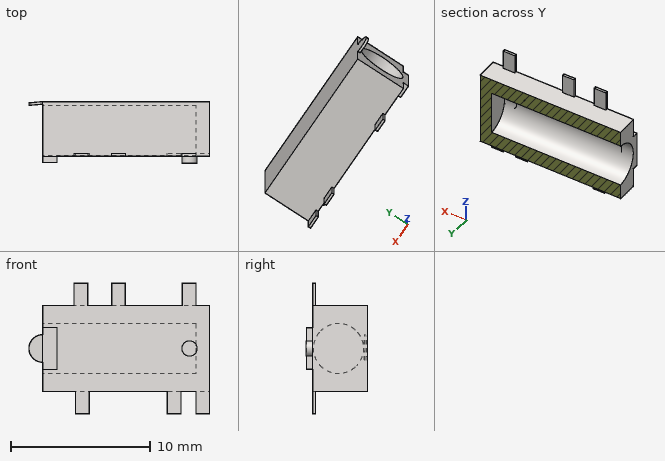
import cadquery as cq

body_length = 12.0
body_depth = 3.95
body_height = 6.2
x_mouth = -body_length / 2
y_back = body_depth / 2
y_front = -body_depth / 2

bore_diameter = 3.6
bore_depth = 11.0
bore_from_back = 2.1

lead_width = 1.0
lead_length = 1.6
lead_thickness = 0.2
upper_lead_starts = [2.25, 4.95, 10.02]
lower_lead_starts = [2.35, 8.95, body_length - lead_width]

block_length = 1.03
block_height = 3.0
block_rise = 0.45

post_diameter = 1.1
post_rise = 0.5
post_from_mouth = 10.55

tongue_radius = 1.0
tongue_thickness = 0.2
tongue_tilt = 5.0


def make_box(x_start, y_start, z_start, length, depth, height):
    """Box from its lowest corner and its sizes along X, Y and Z."""
    box = cq.Workplane("XY").box(length, depth, height, centered=False)
    return box.translate((x_start, y_start, z_start))


def make_body():
    body = cq.Workplane("XY").box(body_length, body_depth, body_height)
    bore = (
        cq.Workplane("YZ", origin=(x_mouth, y_back - bore_from_back, 0))
        .circle(bore_diameter / 2)
        .extrude(bore_depth)
    )
    return body.cut(bore)


def make_lead(start_from_mouth, z_start):
    return make_box(x_mouth + start_from_mouth, y_front, z_start, lead_width, lead_thickness, lead_length)


def make_block():
    return make_box(x_mouth, y_front - block_rise, -block_height / 2, block_length, block_rise, block_height)


def make_post():
    return (
        cq.Workplane("XZ", origin=(x_mouth + post_from_mouth, y_front, 0))
        .circle(post_diameter / 2)
        .extrude(post_rise)
    )


def make_tongue():
    hinge_bottom = (x_mouth, y_back, -tongue_radius)
    hinge_top = (x_mouth, y_back, tongue_radius)
    half_disc = (
        cq.Workplane("XZ", origin=(x_mouth, y_back, 0))
        .moveTo(0, -tongue_radius)
        .threePointArc((-tongue_radius, 0), (0, tongue_radius))
        .close()
        .extrude(tongue_thickness)
    )
    return half_disc.rotate(hinge_bottom, hinge_top, tongue_tilt)


result = make_body().union(make_block()).union(make_post()).union(make_tongue())
for lead_start in upper_lead_starts:
    result = result.union(make_lead(lead_start, body_height / 2))
for lead_start in lower_lead_starts:
    result = result.union(make_lead(lead_start, -body_height / 2 - lead_length))